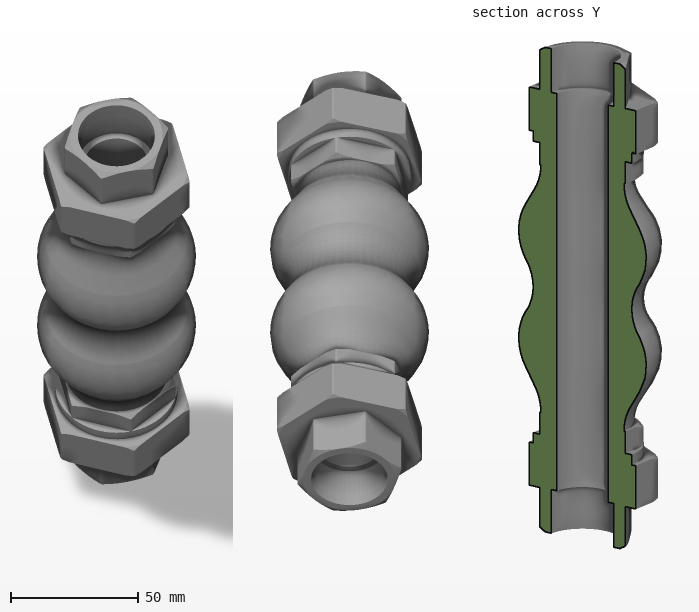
import cadquery as cq
import math

LENGTH = 200.0
HALF_LENGTH = LENGTH / 2
NUT_OUTER_Z = 82.2
NUT_HEIGHT = 18.0
NUT_INNER_Z = NUT_OUTER_Z - NUT_HEIGHT
COLLAR_INNER_Z = 60.0
BODY_HEX_INNER_Z = 51.0

END_HEX_FLATS = 36.5
END_HEX_FACE_DIAMETER = END_HEX_FLATS
NUT_FLATS = 52.0
NUT_FACE_DIAMETER = 56.8
BODY_HEX_FLATS = 42.0
BODY_HEX_FACE_DIAMETER = 44.0
CHAMFER_ANGLE = 30.0
HEX_CORNER_RADIUS = 1.0
CORNER_ON_X = 0.0
CORNER_ON_Y = 30.0
COLLAR_DIAMETER = 48.2

WAIST_DIAMETER = 48.5
BULGE_DIAMETER = 62.5
SHOULDER_DIAMETER = 56.0
BULGE_Z = 22.2
BULGE_HALF_HEIGHT = BULGE_Z / 2
SHOULDER_Z = BULGE_Z + BULGE_HALF_HEIGHT
FLARE_DIAMETER = 47.5
FLARE_Z = 40.2
NECK_DIAMETER = 40.8

BORE_DIAMETER = 25.0
SOCKET_DIAMETER = 30.2
SOCKET_DEPTH = 18.0


def hexagon_prism(flats, z_low, z_high, corner_angle):
    """Hexagonal prism with rounded corners, one of them at the given angle from +X."""
    corner_diameter = flats / math.cos(math.pi / 6)
    prism = cq.Workplane("XY").polygon(6, corner_diameter).extrude(z_high - z_low)
    prism = prism.edges("|Z").fillet(HEX_CORNER_RADIUS)
    return prism.rotate((0, 0, 0), (0, 0, 1), corner_angle).translate((0, 0, z_low))


def chamfer_envelope(face_diameter, flats, z_low, z_high, chamfer_low, chamfer_high):
    """Turned blank, as wide as the sharp hexagon corners, with a cone at each chamfered end."""
    face_radius = face_diameter / 2
    blank_radius = flats / math.sqrt(3)
    drop = (blank_radius - face_radius) * math.tan(math.radians(CHAMFER_ANGLE))
    profile = cq.Workplane("XZ").moveTo(0, z_low)
    if chamfer_low:
        profile = profile.lineTo(face_radius, z_low).lineTo(blank_radius, z_low + drop)
    else:
        profile = profile.lineTo(blank_radius, z_low)
    if chamfer_high:
        profile = profile.lineTo(blank_radius, z_high - drop).lineTo(face_radius, z_high)
    else:
        profile = profile.lineTo(blank_radius, z_high)
    return profile.lineTo(0, z_high).close().revolve(360, (0, 0, 0), (0, 1, 0))


def chamfered_hexagon(flats, face_diameter, z_low, z_high, corner_angle, chamfer_low, chamfer_high):
    prism = hexagon_prism(flats, z_low, z_high, corner_angle)
    envelope = chamfer_envelope(face_diameter, flats, z_low, z_high, chamfer_low, chamfer_high)
    return prism.intersect(envelope)


def upper_fitting():
    """Stack of body hexagon, collar, union nut and end hexagon at the top of the part."""
    body_hex = chamfered_hexagon(
        BODY_HEX_FLATS, BODY_HEX_FACE_DIAMETER, BODY_HEX_INNER_Z, COLLAR_INNER_Z, CORNER_ON_Y, True, False
    )
    collar_height = NUT_INNER_Z - COLLAR_INNER_Z
    collar = cq.Workplane("XY", origin=(0, 0, COLLAR_INNER_Z)).circle(COLLAR_DIAMETER / 2)
    collar = collar.extrude(collar_height)
    nut = chamfered_hexagon(
        NUT_FLATS, NUT_FACE_DIAMETER, NUT_INNER_Z, NUT_OUTER_Z, CORNER_ON_Y, True, True
    )
    end_hex = chamfered_hexagon(
        END_HEX_FLATS, END_HEX_FACE_DIAMETER, NUT_OUTER_Z, HALF_LENGTH, CORNER_ON_X, False, True
    )
    return body_hex.union(collar).union(nut).union(end_hex)


def tangent_radius(half_chord, rise):
    """Radius of an arc that starts parallel to the axis and moves by `rise` over `half_chord`."""
    return (half_chord**2 + rise**2) / (2 * rise)


def neck_arc_middle():
    """Point halfway along the neck arc, which runs parallel to the axis at its outer end."""
    height = BODY_HEX_INNER_Z - FLARE_Z
    radius = tangent_radius(height, (FLARE_DIAMETER - NECK_DIAMETER) / 2)
    half_sweep = math.asin(height / radius) / 2
    offset = radius * (1 - math.cos(half_sweep))
    return NECK_DIAMETER / 2 + offset, BODY_HEX_INNER_Z - radius * math.sin(half_sweep)


def wavy_body():
    neck_x, neck_z = neck_arc_middle()
    shoulder = SHOULDER_DIAMETER / 2
    bulge = BULGE_DIAMETER / 2
    flare = FLARE_DIAMETER / 2
    neck = NECK_DIAMETER / 2
    profile = (
        cq.Workplane("XZ")
        .moveTo(0, -BODY_HEX_INNER_Z)
        .lineTo(neck, -BODY_HEX_INNER_Z)
        .threePointArc((neck_x, -neck_z), (flare, -FLARE_Z))
        .lineTo(shoulder, -SHOULDER_Z)
        .threePointArc((bulge, -BULGE_Z), (shoulder, -BULGE_HALF_HEIGHT))
        .threePointArc((WAIST_DIAMETER / 2, 0), (shoulder, BULGE_HALF_HEIGHT))
        .threePointArc((bulge, BULGE_Z), (shoulder, SHOULDER_Z))
        .lineTo(flare, FLARE_Z)
        .threePointArc((neck_x, neck_z), (neck, BODY_HEX_INNER_Z))
        .lineTo(0, BODY_HEX_INNER_Z)
        .close()
    )
    return profile.revolve(360, (0, 0, 0), (0, 1, 0))


def passage():
    """Through bore with a socket counterbored into each end."""
    cutter = cq.Workplane("XY", origin=(0, 0, -HALF_LENGTH)).circle(BORE_DIAMETER / 2).extrude(LENGTH)
    for socket_z in (-HALF_LENGTH, HALF_LENGTH - SOCKET_DEPTH):
        socket = cq.Workplane("XY", origin=(0, 0, socket_z)).circle(SOCKET_DIAMETER / 2)
        cutter = cutter.union(socket.extrude(SOCKET_DEPTH))
    return cutter


fitting = upper_fitting()
solid_body = wavy_body().union(fitting).union(fitting.mirror("XY"))
result = solid_body.cut(passage())